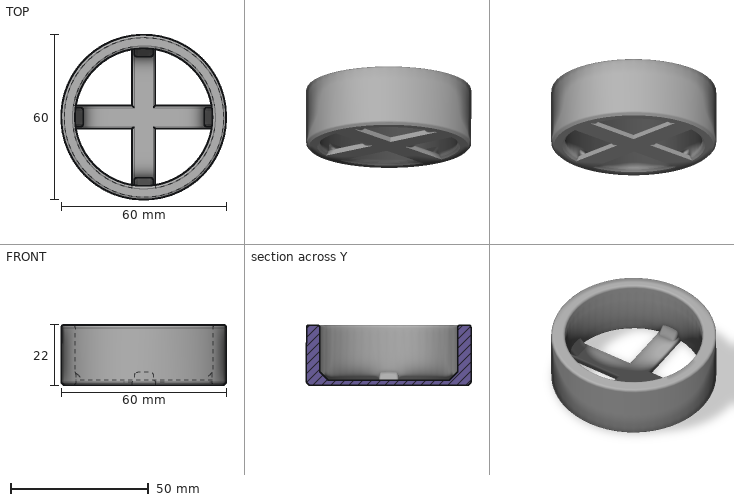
import cadquery as cq

outer_radius = 30.0
bore_radius = 25.0
ring_height = 22.0
top_rounding = 1.0
bottom_chamfer = 1.0
chamfer_blend = 0.75

bar_width = 8.5
bar_thickness = 2.0
bar_rounding = 0.75

ramp_count = 4
ramp_width = bar_width - 2 * bar_rounding
ramp_length = 3.0
ramp_height = 3.0
ramp_rounding = 0.9

wall_overlap = 2.0


def make_ring():
    """Plain ring with rounded top edges and softened chamfers at the bottom."""
    ring = cq.Workplane("XY").circle(outer_radius).circle(bore_radius).extrude(ring_height)
    ring = ring.faces(">Z").edges().fillet(top_rounding)
    ring = ring.faces("<Z").edges().chamfer(bottom_chamfer)
    return ring.faces("%CYLINDER").edges("<Z").fillet(chamfer_blend)


def make_cross():
    """Two crossed bars with their long top edges rounded."""
    bar_length = 2 * (bore_radius + wall_overlap)
    bar_x = cq.Workplane("XY").box(bar_length, bar_width, bar_thickness, centered=(True, True, False))
    bar_y = cq.Workplane("XY").box(bar_width, bar_length, bar_thickness, centered=(True, True, False))
    return bar_x.union(bar_y).faces(">Z").edges().fillet(bar_rounding)


def make_ramp():
    """Ramp on the +X bar that climbs the bore wall, with rounded sloping edges."""
    start = bore_radius - ramp_length
    end = bore_radius + wall_overlap
    end_rise = ramp_height * (end - start) / ramp_length
    ramp = (
        cq.Workplane("XZ")
        .moveTo(start, 0)
        .lineTo(start, bar_thickness)
        .lineTo(end, bar_thickness + end_rise)
        .lineTo(end, 0)
        .close()
        .extrude(ramp_width / 2, both=True)
    )
    return ramp.edges("(not |X) and (not |Y) and (not |Z)").fillet(ramp_rounding)


result = make_ring().union(make_cross())
for index in range(ramp_count):
    angle = index * 360 / ramp_count
    result = result.union(make_ramp().rotate((0, 0, 0), (0, 0, 1), angle))